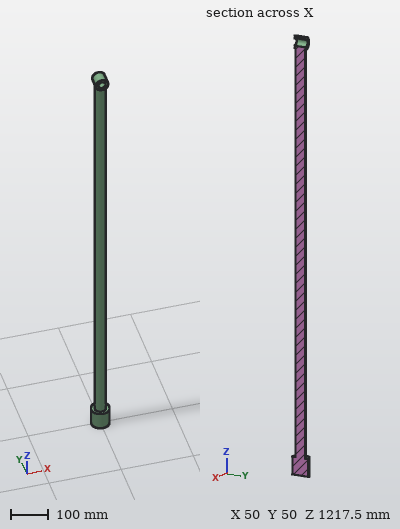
import cadquery as cq

rod_diameter = 30.0
eye_diameter = 35.0
eye_width = 34.0
eye_hole_diameter = 20.0
eye_center_height = 1200.0
collar_diameter = 50.0
collar_height = 50.0


def upright_cylinder(diameter, height):
    """Cylinder on the Z axis, standing on the bottom plane."""
    return cq.Workplane("XY").circle(diameter / 2).extrude(height)


def eye_cylinder(diameter):
    """Cylinder along Y through the eye axis, centred on the rod."""
    return (
        cq.Workplane("XZ", origin=(0, 0, eye_center_height))
        .circle(diameter / 2)
        .extrude(eye_width / 2, both=True)
    )


collar = upright_cylinder(collar_diameter, collar_height)
rod = upright_cylinder(rod_diameter, eye_center_height)

eye = eye_cylinder(eye_diameter)
eye_hole = eye_cylinder(eye_hole_diameter)

result = collar.union(rod).union(eye).cut(eye_hole)